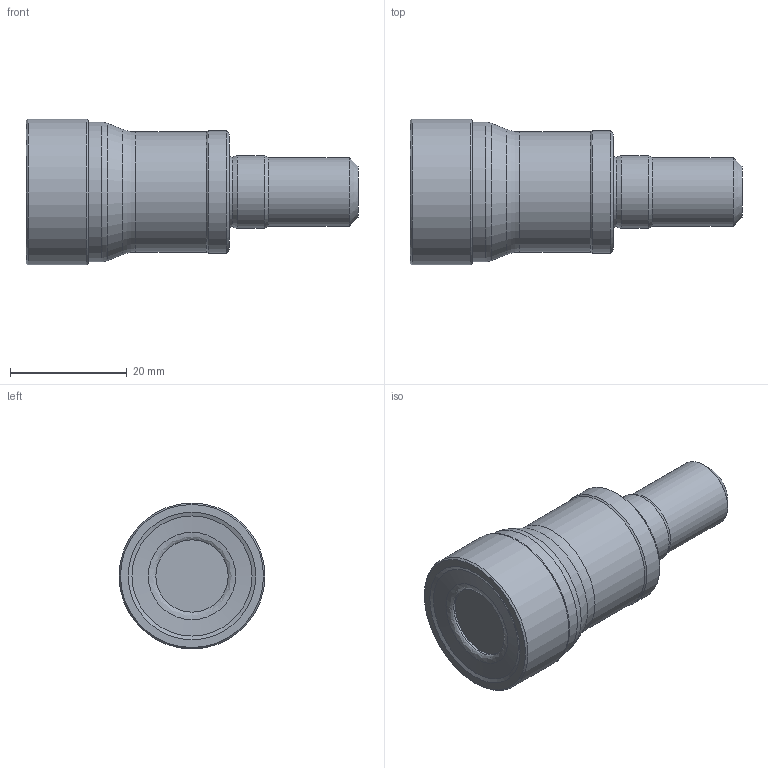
import cadquery as cq
import math


step_diameter = 24.0
neck_diameter = 20.6
flange_diameter = 21.0
groove_mouth_diameter = 12.3
groove_diameter = 12.0
pilot_diameter = 12.5
shank_diameter = 11.75

head_length = 10.7
step_end = 12.9
neck_end = 30.95
flange_front = 31.25
flange_rear = 34.9
groove_bottom = 35.4
pilot_start = 36.3
pilot_end = 40.9
shank_start = 41.6
overall_length = 56.99

flange_rear_chamfer = 0.55
shank_tip_chamfer = 1.5
shoulder_angle = math.radians(22)
step_round_radius = 3.0
neck_round_radius = 6.0

head_diameter = 25.06
head_front_chamfer_length = 0.35
head_front_chamfer_height = 0.25
head_rear_round_radius = 0.4
dish_mouth_diameter = 21.9
dish_floor_outer_diameter = 20.6
dish_floor_inner_diameter = 15.0
dish_rim_depth = 0.25
dish_depth = 0.47
bore_diameter = 12.4
bore_lip_depth = 0.6
bore_wall_depth = 0.35

core_front = dish_depth + bore_lip_depth + bore_wall_depth


def revolve_outline(outline):
    """Turn a closed (x, radius) outline about the X axis."""
    return outline.close().revolve(360, (0, 0, 0), (1, 0, 0))


def make_head():
    """Ring with a shallow dished face and a bore with a rounded mouth."""
    head_radius = head_diameter / 2
    bore_radius = bore_diameter / 2
    bore_lip_width = dish_floor_inner_diameter / 2 - bore_radius
    outline = (
        cq.Workplane("XY")
        .moveTo(head_length, bore_radius)
        .lineTo(dish_depth + bore_lip_depth, bore_radius)
        .ellipseArc(bore_lip_depth, bore_lip_width, 180, 270, sense=-1)
        .lineTo(dish_rim_depth, dish_floor_outer_diameter / 2)
        .lineTo(0, dish_mouth_diameter / 2)
        .lineTo(0, head_radius - head_front_chamfer_height)
        .lineTo(head_front_chamfer_length, head_radius)
        .lineTo(head_length - head_rear_round_radius, head_radius)
        .radiusArc((head_length, head_radius - head_rear_round_radius), head_rear_round_radius)
    )
    return revolve_outline(outline)


def make_body():
    """Core, step, shoulder, neck, flange, pilot and shank in one turned piece."""
    step_radius = step_diameter / 2
    neck_radius = neck_diameter / 2
    flange_radius = flange_diameter / 2
    pilot_radius = pilot_diameter / 2
    shank_radius = shank_diameter / 2

    round_drop = 1 - math.cos(shoulder_angle)
    cone_front_x = step_end + step_round_radius * math.sin(shoulder_angle)
    cone_front_radius = step_radius - step_round_radius * round_drop
    cone_rear_radius = neck_radius + neck_round_radius * round_drop
    cone_rear_x = cone_front_x + (cone_front_radius - cone_rear_radius) / math.tan(shoulder_angle)
    neck_start = cone_rear_x + neck_round_radius * math.sin(shoulder_angle)

    outline = (
        cq.Workplane("XY")
        .moveTo(core_front, 0)
        .lineTo(core_front, bore_diameter / 2)
        .lineTo(head_length, bore_diameter / 2)
        .lineTo(head_length, step_radius)
        .lineTo(step_end, step_radius)
        .radiusArc((cone_front_x, cone_front_radius), step_round_radius)
        .lineTo(cone_rear_x, cone_rear_radius)
        .radiusArc((neck_start, neck_radius), -neck_round_radius)
        .lineTo(neck_end, neck_radius)
        .lineTo(flange_front, flange_radius)
        .lineTo(flange_rear - flange_rear_chamfer, flange_radius)
        .lineTo(flange_rear, flange_radius - flange_rear_chamfer)
        .lineTo(flange_rear, groove_mouth_diameter / 2)
        .lineTo(groove_bottom, groove_diameter / 2)
        .lineTo(pilot_start, pilot_radius)
        .lineTo(pilot_end, pilot_radius)
        .lineTo(shank_start, shank_radius)
        .lineTo(overall_length - shank_tip_chamfer, shank_radius)
        .lineTo(overall_length, shank_radius - shank_tip_chamfer)
        .lineTo(overall_length, 0)
    )
    return revolve_outline(outline)


head = make_head()
body = make_body()

result = cq.Compound.makeCompound([head.val(), body.val()])